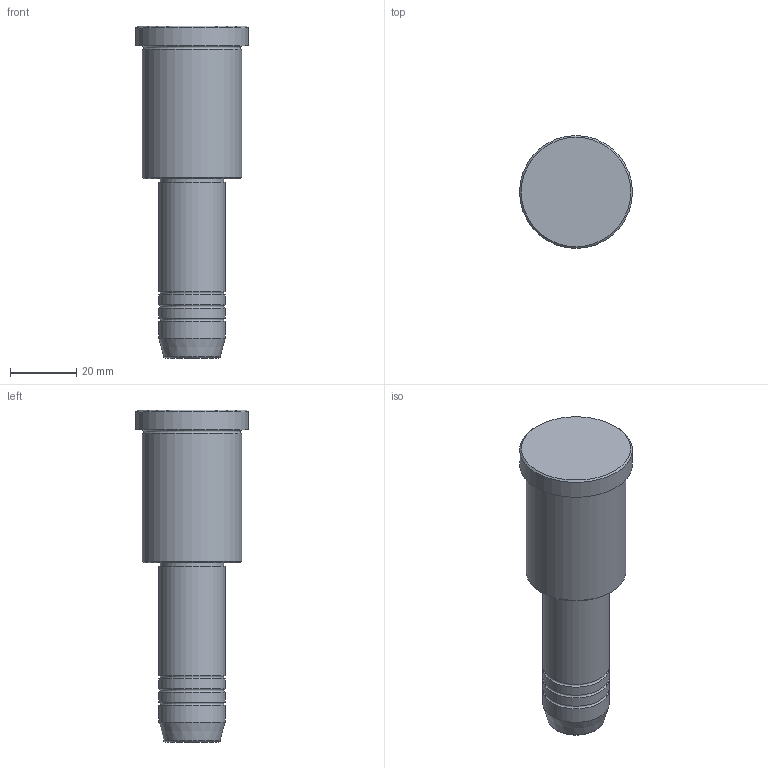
import cadquery as cq
import math

TOTAL_LENGTH = 100.0
HEAD_DIAMETER = 34.0
BODY_DIAMETER = 30.0
SHANK_DIAMETER = 20.0

HEAD_THICKNESS = 6.0
BODY_LENGTH = 40.0
TIP_LENGTH = 6.0

TIP_HALF_ANGLE = 15.0
EDGE_CHAMFER = 0.5
TIP_FILLET = 0.5

GROOVE_WIDTH = 1.0
GROOVE_DEPTH = GROOVE_WIDTH / 2
GROOVE_COUNT = 3
GROOVE_PITCH = 4.0
LOWEST_GROOVE_BASE = 11.0

HEAD_BASE = TOTAL_LENGTH - HEAD_THICKNESS
BODY_BASE = HEAD_BASE - BODY_LENGTH
TIP_DIAMETER = SHANK_DIAMETER - 2 * TIP_LENGTH * math.tan(math.radians(TIP_HALF_ANGLE))


def cylinder(diameter, base, length):
    """Solid cylinder on the Z axis, standing on the height `base`."""
    return cq.Workplane("XY").workplane(offset=base).circle(diameter / 2).extrude(length)


def make_head():
    """Head disc with its top rim chamfered."""
    head = cylinder(HEAD_DIAMETER, HEAD_BASE, HEAD_THICKNESS)
    return head.faces(">Z").edges().chamfer(EDGE_CHAMFER)


def make_body():
    """Thick cylinder below the head, with its lower rim chamfered."""
    body = cylinder(BODY_DIAMETER, BODY_BASE, BODY_LENGTH)
    return body.faces("<Z").edges().chamfer(EDGE_CHAMFER)


def make_shank():
    """Thin cylinder below the body."""
    return cylinder(SHANK_DIAMETER, TIP_LENGTH, BODY_BASE - TIP_LENGTH)


def make_tip():
    """Conical lead-in at the lower end, with its end rim rounded."""
    tip = (
        cq.Workplane("XY")
        .circle(TIP_DIAMETER / 2)
        .workplane(offset=TIP_LENGTH)
        .circle(SHANK_DIAMETER / 2)
        .loft(ruled=True)
    )
    return tip.faces("<Z").edges().fillet(TIP_FILLET)


def undercut_cutter(diameter, base):
    """Ring that cuts a square undercut into a cylinder of the given diameter."""
    outer = cylinder(diameter, base, GROOVE_WIDTH)
    core = cylinder(diameter - 2 * GROOVE_DEPTH, base, GROOVE_WIDTH)
    return outer.cut(core)


def groove_cutter(diameter, base):
    """Ring that cuts a half-round groove into a cylinder of the given diameter."""
    radius = diameter / 2
    section = (
        cq.Workplane("XZ")
        .moveTo(radius, base)
        .threePointArc(
            (radius - GROOVE_DEPTH, base + GROOVE_WIDTH / 2),
            (radius, base + GROOVE_WIDTH),
        )
        .close()
    )
    return section.revolve(360, (0, 0, 0), (0, 1, 0))


pin = make_head().union(make_body()).union(make_shank()).union(make_tip())

pin = pin.cut(groove_cutter(BODY_DIAMETER, HEAD_BASE - GROOVE_WIDTH))
pin = pin.cut(undercut_cutter(SHANK_DIAMETER, BODY_BASE - GROOVE_WIDTH))

for index in range(GROOVE_COUNT):
    pin = pin.cut(groove_cutter(SHANK_DIAMETER, LOWEST_GROOVE_BASE + index * GROOVE_PITCH))

result = pin